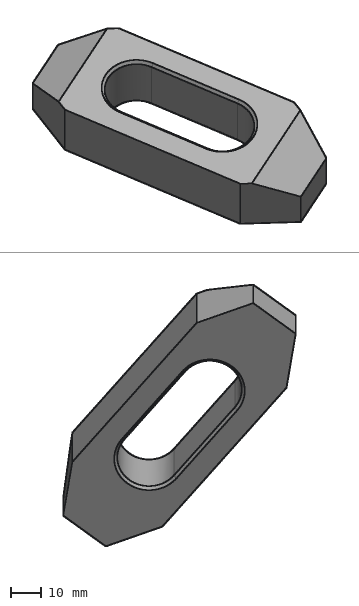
import cadquery as cq
import math

length = 100.0
width = 38.0
height = 22.0
nose_width = 18.0
taper_angle = 30.0
top_taper_run = 14.0
slot_length = 53.0
slot_width = 21.0
slot_chamfer = 1.0
chamfer_angle = 45.0

taper_slope = math.tan(math.radians(taper_angle))
side_taper_run = (width - nose_width) / 2 / taper_slope
top_taper_drop = top_taper_run * taper_slope


def tapered_body():
    """Octagonal plan, intersected with the side profile that slopes at both ends."""
    half_length = length / 2
    straight_x = half_length - side_taper_run
    plan = (
        cq.Workplane("XY")
        .moveTo(-straight_x, -width / 2)
        .lineTo(straight_x, -width / 2)
        .lineTo(half_length, -nose_width / 2)
        .lineTo(half_length, nose_width / 2)
        .lineTo(straight_x, width / 2)
        .lineTo(-straight_x, width / 2)
        .lineTo(-half_length, nose_width / 2)
        .lineTo(-half_length, -nose_width / 2)
        .close()
        .extrude(height)
    )
    top_x = half_length - top_taper_run
    nose_height = height - top_taper_drop
    profile = (
        cq.Workplane("XZ")
        .moveTo(-half_length, 0)
        .lineTo(half_length, 0)
        .lineTo(half_length, nose_height)
        .lineTo(top_x, height)
        .lineTo(-top_x, height)
        .lineTo(-half_length, nose_height)
        .close()
        .extrude(width / 2, both=True)
    )
    return plan.intersect(profile)


def slot_chamfer_cutter(face_z, direction):
    """Flared slot starting at a face and narrowing into the body (direction +1 is up)."""
    return (
        cq.Workplane("XY", origin=(0, 0, face_z))
        .slot2D(slot_length + 2 * slot_chamfer, slot_width + 2 * slot_chamfer)
        .extrude(direction * slot_chamfer, taper=chamfer_angle)
    )


def slot_cutter():
    """Through slot with a chamfered rim at the top and bottom faces."""
    slot = cq.Workplane("XY").slot2D(slot_length, slot_width).extrude(height)
    top_rim = slot_chamfer_cutter(height, -1)
    bottom_rim = slot_chamfer_cutter(0, 1)
    return slot.union(top_rim).union(bottom_rim)


result = tapered_body().cut(slot_cutter())